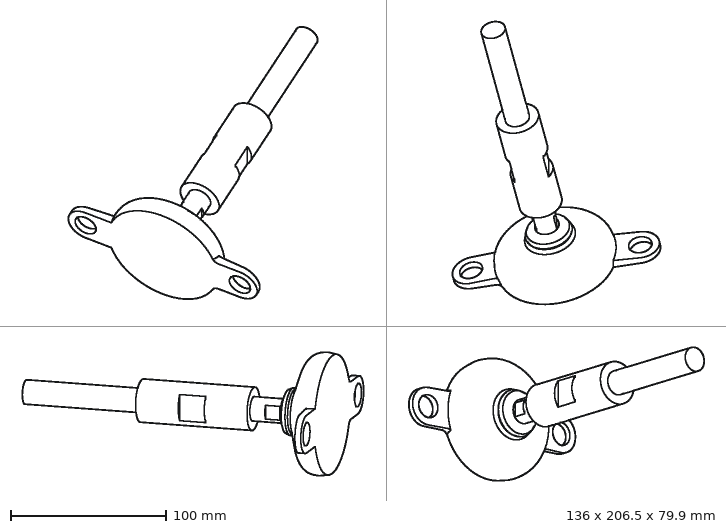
import cadquery as cq
import math


total_length = 206.5
lug_span = 136.0

base_radius = 39.0
rim_radius = 39.95
rim_height = 5.8
rim_band_height = 8.7
rim_band_radius = 39.6
shoulder_radius = 35.3
shoulder_height = 15.7
shoulder_mid_radius = 38.0
shoulder_mid_height = 13.2
neck_radius = 16.7
neck_height = 23.1
seat_edge_height = 24.4
seat_edge_radius = 15.5
seat_radius = 14.7
seat_height = 25.6

hole_diameter = 15.0
hole_offset = 55.5
lug_end_radius = lug_span / 2 - hole_offset
lug_tip_thickness = 4.0
root_blend_radius = 5.0

rod_diameter = 16.0
collar_bulge_radius = 15.5
collar_bulge_height = 27.0
collar_shoulder_radius = 14.2
collar_shoulder_height = 30.0
collar_crown_radius = 12.0
collar_crown_height = 31.2
collar_top_height = 32.6
sleeve_diameter = 28.0
sleeve_start = 53.0
sleeve_length = 75.2

rod_flat_start = 33.0
rod_flat_length = 10.0
rod_flat_width = 13.0
sleeve_flat_length = 17.5
sleeve_flat_width = 22.0
sleeve_flat_start = sleeve_start + (sleeve_length - sleeve_flat_length) / 2


def revolve_about_y(profile):
    """Turn a closed half profile around the Y axis."""
    return profile.revolve(360, (0, 0, 0), (0, 1, 0))


def cylinder_y(diameter, start, length):
    """Cylinder on the Y axis from start to start + length."""
    return cq.Workplane("XZ", origin=(0, start, 0)).circle(diameter / 2).extrude(-length)


def make_foot_disc():
    profile = (
        cq.Workplane("XY")
        .lineTo(base_radius, 0)
        .lineTo(rim_radius, rim_height)
        .lineTo(rim_band_radius, rim_band_height)
        .threePointArc((shoulder_mid_radius, shoulder_mid_height), (shoulder_radius, shoulder_height))
        .lineTo(neck_radius, neck_height)
        .lineTo(seat_edge_radius, seat_edge_height)
        .lineTo(seat_radius, seat_height)
        .lineTo(0, seat_height)
        .close()
    )
    return revolve_about_y(profile)


def make_lugs():
    """Both lugs on a central disc, thinning to the tips; only the +X lug has blended roots."""
    bar_length = 2 * (hole_offset + lug_end_radius)
    plan = cq.Workplane("XZ").slot2D(bar_length, 2 * lug_end_radius).extrude(-rim_height)
    plan = plan.union(cylinder_y(2 * base_radius, 0, rim_height))
    root_search = root_blend_radius / 2
    root_x = math.sqrt(base_radius**2 - lug_end_radius**2)
    roots = cq.selectors.BoxSelector(
        (root_x - root_search, 0, -base_radius),
        (root_x + root_search, rim_height, base_radius),
    )
    plan = plan.edges("|Y").edges(roots).fillet(root_blend_radius)
    side = (
        cq.Workplane("XY")
        .moveTo(-lug_span / 2, 0)
        .lineTo(lug_span / 2, 0)
        .lineTo(lug_span / 2, lug_tip_thickness)
        .lineTo(base_radius, rim_height)
        .lineTo(-base_radius, rim_height)
        .lineTo(-lug_span / 2, lug_tip_thickness)
        .close()
        .extrude(base_radius, both=True)
    )
    return plan.intersect(side)


def make_foot():
    holes = (
        cq.Workplane("XZ")
        .pushPoints([(-hole_offset, 0), (hole_offset, 0)])
        .circle(hole_diameter / 2)
        .extrude(-rim_height)
    )
    return make_foot_disc().union(make_lugs()).cut(holes)


def make_collar():
    rod_radius = rod_diameter / 2
    profile = (
        cq.Workplane("XY")
        .moveTo(0, seat_height)
        .lineTo(seat_radius, seat_height)
        .lineTo(collar_bulge_radius, collar_bulge_height)
        .lineTo(collar_shoulder_radius, collar_shoulder_height)
        .threePointArc((collar_crown_radius, collar_crown_height), (rod_radius, collar_top_height))
        .lineTo(0, collar_top_height)
        .close()
    )
    return revolve_about_y(profile)


def cut_flats(body, start, length, across_flats, diameter):
    """Cut two opposite flats into a round stretch of the given diameter."""
    middle = start + length / 2
    band = cq.Workplane("XY").box(diameter, length, diameter)
    core = cq.Workplane("XY").box(across_flats, length, diameter)
    return body.cut(band.cut(core).translate((0, middle, 0)))


def make_spindle():
    rod = cylinder_y(rod_diameter, seat_height, total_length - seat_height)
    rod = cut_flats(rod, rod_flat_start, rod_flat_length, rod_flat_width, rod_diameter)
    sleeve = cylinder_y(sleeve_diameter, sleeve_start, sleeve_length)
    sleeve = cut_flats(sleeve, sleeve_flat_start, sleeve_flat_length, sleeve_flat_width, sleeve_diameter)
    return rod.union(sleeve).union(make_collar())


foot = make_foot()
spindle = make_spindle()

result = cq.Compound.makeCompound([foot.val(), spindle.val()])